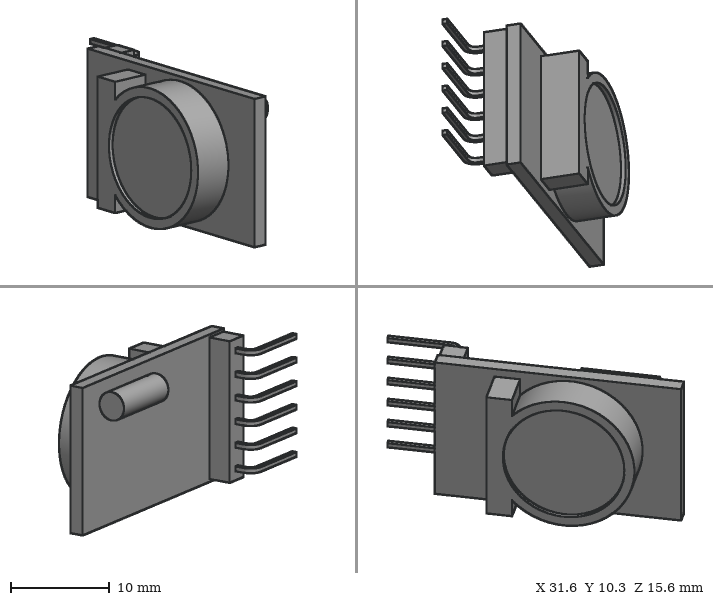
import cadquery as cq
import math


board_length = 25.5
board_height = 15.6
board_thickness = 1.52
board_mid_z = board_height / 2

header_inset = 0.1
header_width = 2.53
header_depth = 2.45
header_height = 14.98
pin_count = 6
pin_pitch = 2.5
pin_size = 0.5
pin_overhang = 6.1
pin_rise = 2.28
pin_inner_radius = 0.75
pin_outer_radius = pin_inner_radius + pin_size

holder_depth = 4.1
holder_front_y = -board_thickness - holder_depth
holder_radius = 7.33
holder_center_x = 14.2
contact_block_start = 6.2
contact_block_width = 2.65
contact_block_height = 13.8

cell_radius = 6.3
cell_thickness = 2.0
cell_recess = 0.5
cell_front_y = holder_front_y + cell_recess

crystal_diameter = 3.0
crystal_length = 8.0
crystal_start = 14.47
crystal_drop = 2.43


def block(x, y, z, length, depth, height):
    """Box with its lowest corner at (x, y, z)."""
    return cq.Workplane("XY").box(length, depth, height, centered=False).translate((x, y, z))


def disc(radius, front_y, thickness):
    """Disc on the holder's axis, running from front_y toward the board."""
    return (
        cq.Workplane("XZ", origin=(holder_center_x, front_y, board_mid_z))
        .circle(radius)
        .extrude(-thickness)
    )


def make_board():
    return block(0, -board_thickness, 0, board_length, board_thickness, board_height)


def make_pin(center_z):
    """Square pin that leaves the header along +Y and bends toward -X."""
    leg_right = header_inset + (header_width + pin_size) / 2
    leg_left = leg_right - pin_size
    top = header_depth + pin_rise
    bend_x = leg_right - pin_outer_radius
    bend_y = top - pin_outer_radius
    outer_reach = pin_outer_radius * math.sqrt(0.5)
    inner_reach = pin_inner_radius * math.sqrt(0.5)
    return (
        cq.Workplane("XY", origin=(0, 0, center_z - pin_size / 2))
        .moveTo(leg_left, header_depth)
        .lineTo(leg_right, header_depth)
        .lineTo(leg_right, bend_y)
        .threePointArc((bend_x + outer_reach, bend_y + outer_reach), (bend_x, top))
        .lineTo(-pin_overhang, top)
        .lineTo(-pin_overhang, top - pin_size)
        .lineTo(bend_x, top - pin_size)
        .threePointArc((bend_x + inner_reach, bend_y + inner_reach), (leg_left, bend_y))
        .close()
        .extrude(pin_size)
    )


def make_header():
    """Header strip and its row of pins, as one body."""
    header = block(
        header_inset, 0, board_mid_z - header_height / 2,
        header_width, header_depth, header_height,
    )
    for i in range(pin_count):
        header = header.union(make_pin(board_mid_z + (i - (pin_count - 1) / 2) * pin_pitch))
    return header


def make_holder():
    """Round holder merged with its contact block, with a blind seat for the cell."""
    contact_block = block(
        contact_block_start, holder_front_y, board_mid_z - contact_block_height / 2,
        contact_block_width, holder_depth, contact_block_height,
    )
    seat = disc(cell_radius, holder_front_y, cell_recess + cell_thickness)
    return disc(holder_radius, holder_front_y, holder_depth).union(contact_block).cut(seat)


def make_cell():
    return disc(cell_radius, cell_front_y, cell_thickness)


def make_crystal():
    """Cylinder lying along X, touching the board's rear face."""
    radius = crystal_diameter / 2
    center = (crystal_start, radius, board_height - crystal_drop)
    return cq.Workplane("YZ", origin=center).circle(radius).extrude(crystal_length)


board = make_board()
header = make_header()
holder = make_holder()
cell = make_cell()
crystal = make_crystal()

result = cq.Compound.makeCompound(
    [board.val(), header.val(), holder.val(), cell.val(), crystal.val()]
)